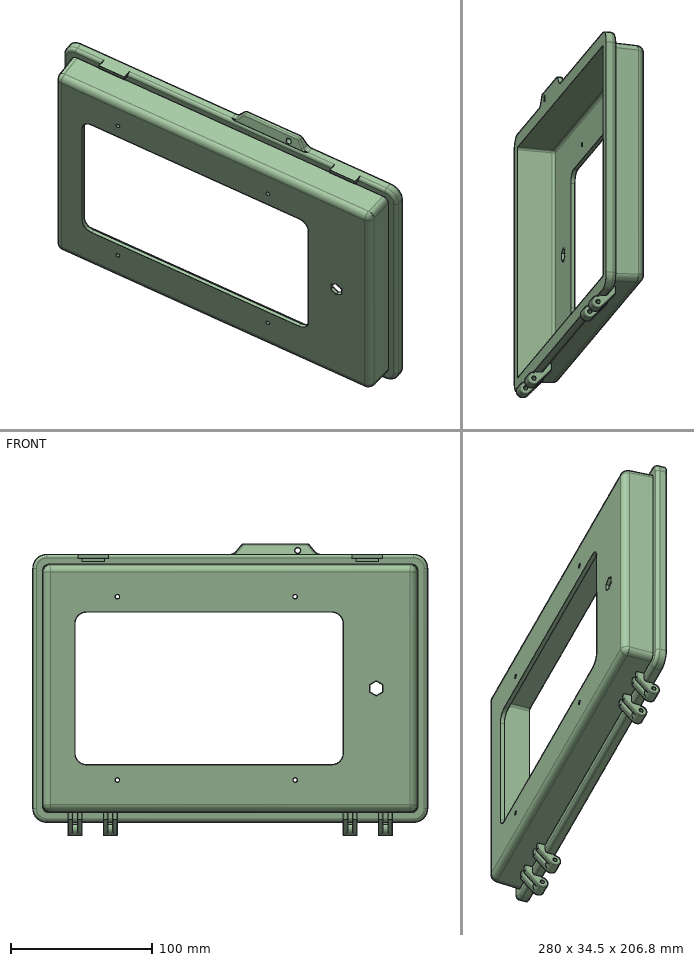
import cadquery as cq
import math


flange_width = 280.0
flange_height = 190.0
flange_depth = 7.5
flange_corner_radius = 10.0
flange_edge_radius = 2.5
flange_top = flange_height / 2
flange_bottom = -flange_top

lid_depth = 30.0
box_inset = 7.0
box_width = flange_width - 2 * box_inset
box_height = flange_height - 2 * box_inset
box_edge_radius = 5.0
box_corner_radius = 4.5
draft_angle = 2.0
wall = 3.0
box_bottom = -box_height / 2

window_width = 190.0
window_height = 108.0
window_center_x = -15.0
window_corner_radius = 8.0
screw_hole_diameter = 3.0
screw_spacing_x = 126.0
screw_spacing_z = 130.0
screw_center_x = -17.0
hex_across_flats = 9.0
hex_center_x = 103.5
hex_turn = 30.0

knuckle_diameter = 9.0
hinge_hole_diameter = 3.0
hinge_axis_drop = 4.82
hinge_axis_z = flange_bottom - hinge_axis_drop
knuckle_width = 10.0
arm_thickness = 3.3
arm_reach = 13.0
arm_slope_angle = 46.0
arm_edge_radius = 0.6
arm_embed = 1.0
web_depth = 3.0
hinge_center_x = 97.5
knuckle_spacing = 25.0

clip_center_x = 97.0
clip_width = 21.5
clip_reach = 11.5
clip_thickness = 3.0
clip_edge_radius = 0.5
clip_rib_width = 16.0
clip_rib_depth = 0.8
clip_rib_height = 2.2

tab_center_x = 32.0
tab_height = 7.5
tab_top_width = 46.6
tab_side_angle = 50.0
tab_foot_radius = 5.0
tab_corner_radius = 2.5
tab_base_depth = 6.2
tab_top_depth = 3.4
tab_edge_radius = 1.4
tab_hole_diameter = 4.0
tab_hole_x = 47.8
tab_hole_rise = 2.7


def front_plane(y):
    """Sketch plane at the given Y, with local x along +X, local y along +Z and normal -Y."""
    return cq.Workplane(cq.Plane(origin=(0, y, 0), xDir=(1, 0, 0), normal=(0, -1, 0)))


def side_plane(x):
    """Sketch plane at the given X, with local x along +Y, local y along +Z and normal +X."""
    return cq.Workplane(cq.Plane(origin=(x, 0, 0), xDir=(0, 1, 0), normal=(1, 0, 0)))


def make_flange():
    flange = front_plane(0).rect(flange_width, flange_height).extrude(flange_depth)
    flange = flange.edges("|Y").fillet(flange_corner_radius)
    return flange.faces("<Y").edges().fillet(flange_edge_radius)


def drafted_block(inset, depth, corner_radius, edge_radius):
    """Block from the back plane, narrowing with the draft angle, with rounded front and corner edges.

    The box width and height hold where the block leaves the front of the flange.
    """
    allowance = 2 * (flange_depth * math.tan(math.radians(draft_angle)) - inset)
    block = (
        front_plane(0).rect(box_width + allowance, box_height + allowance)
        .extrude(depth, taper=draft_angle)
    )
    block = block.faces("<Y").edges().fillet(edge_radius)
    return block.edges("not(#Y)").fillet(corner_radius)


def make_front_openings():
    window = (
        front_plane(0).center(window_center_x, 0).rect(window_width, window_height)
        .extrude(lid_depth).edges("|Y").fillet(window_corner_radius)
    )
    screw_holes = (
        front_plane(0).center(screw_center_x, 0)
        .rect(screw_spacing_x, screw_spacing_z, forConstruction=True).vertices()
        .circle(screw_hole_diameter / 2).extrude(lid_depth)
    )
    hex_corner_diameter = hex_across_flats / math.cos(math.radians(hex_turn))
    hex_hole = (
        front_plane(0).transformed(offset=(hex_center_x, 0, 0), rotate=(0, 0, hex_turn))
        .polygon(6, hex_corner_diameter).extrude(lid_depth)
    )
    return window.union(screw_holes).union(hex_hole)


def make_hinge_arm(x):
    """Side plate that runs from under the box down to a round end on the hinge axis."""
    radius = knuckle_diameter / 2
    slope = math.radians(arm_slope_angle)
    tangent_y = -radius * math.sin(slope)
    tangent_z = hinge_axis_z - radius * math.cos(slope)
    shoulder_z = tangent_z + (arm_reach + tangent_y) * math.tan(slope)
    arc_middle = radius * math.sqrt(0.5)
    return (
        side_plane(x)
        .moveTo(0, hinge_axis_z + radius)
        .lineTo(0, flange_bottom + flange_depth)
        .lineTo(-flange_depth, box_bottom + arm_embed)
        .lineTo(-arm_reach, box_bottom + arm_embed)
        .lineTo(-arm_reach, shoulder_z)
        .lineTo(tangent_y, tangent_z)
        .threePointArc(
            (arc_middle, hinge_axis_z - arc_middle),
            (0, hinge_axis_z + radius),
        )
        .close()
        .extrude(arm_thickness)
        .faces("|X").edges().fillet(arm_edge_radius)
    )


def make_knuckle(center_x):
    """Two arms joined by a barrel and a short web under the flange."""
    left = center_x - knuckle_width / 2
    right = center_x + knuckle_width / 2
    web_start = left + arm_thickness / 2
    web_width = knuckle_width - arm_thickness
    barrel = (
        side_plane(web_start).center(0, hinge_axis_z).circle(knuckle_diameter / 2).extrude(web_width)
    )
    web = (
        side_plane(web_start)
        .moveTo(0, hinge_axis_z)
        .lineTo(0, flange_bottom + wall)
        .lineTo(-web_depth, flange_bottom + wall)
        .lineTo(-web_depth, hinge_axis_z)
        .close()
        .extrude(web_width)
    )
    arms = make_hinge_arm(left).union(make_hinge_arm(right - arm_thickness))
    return barrel.union(web).union(arms)


def make_clip(center_x):
    """Flat hook flush with the top of the flange, stiffened by a thin rib below it."""
    hook = (
        cq.Workplane("XY", origin=(center_x, -(flange_edge_radius + clip_reach) / 2, flange_top))
        .rect(clip_width, clip_reach - flange_edge_radius).extrude(-clip_thickness)
        .faces("<Z").edges("not >Y").fillet(clip_edge_radius)
    )
    rib_start = flange_edge_radius - flange_depth
    rib_full_height = clip_thickness + clip_rib_height
    rib = (
        front_plane(rib_start).center(center_x, flange_top - rib_full_height / 2)
        .rect(clip_rib_width, rib_full_height).extrude(flange_edge_radius + clip_rib_depth)
    )
    return hook.union(rib)


def make_tab():
    """Trapezoid tab with flared feet, a leaning front face, a rounded rim and a small hole."""
    half_top = tab_top_width / 2
    half_base = half_top + tab_height / math.tan(math.radians(tab_side_angle))
    root = 2 * tab_foot_radius
    half_root = half_base + root
    tab = (
        front_plane(0).center(tab_center_x, flange_top)
        .moveTo(-half_root, -root)
        .lineTo(-half_root, 0)
        .lineTo(-half_base, 0)
        .lineTo(-half_top, tab_height)
        .lineTo(half_top, tab_height)
        .lineTo(half_base, 0)
        .lineTo(half_root, 0)
        .lineTo(half_root, -root)
        .close()
        .extrude(tab_base_depth)
    )
    tab = tab.edges("|Y").edges(">Z").fillet(tab_corner_radius)
    feet = cq.selectors.BoxSelector(
        (tab_center_x - half_base - tab_foot_radius, -tab_base_depth, flange_top - tab_corner_radius),
        (tab_center_x + half_base + tab_foot_radius, 0, flange_top + tab_corner_radius),
    )
    tab = tab.edges("|Y").edges(feet).fillet(tab_foot_radius)

    root_depth = flange_depth - flange_edge_radius
    side_profile = (
        side_plane(-flange_width / 2)
        .moveTo(0, flange_top - wall)
        .lineTo(-root_depth, flange_top - wall)
        .lineTo(-root_depth, flange_top)
        .lineTo(-tab_base_depth, flange_top)
        .lineTo(-tab_top_depth, flange_top + tab_height)
        .lineTo(0, flange_top + tab_height)
        .close()
        .extrude(flange_width)
    )
    tab = tab.intersect(side_profile)

    front_rim = cq.selectors.BoxSelector(
        (-flange_width, -tab_base_depth, flange_top + tab_edge_radius / 2),
        (flange_width, -tab_top_depth / 2, flange_top + 2 * tab_height),
    )
    tab = tab.edges("not |Y").edges(front_rim).fillet(tab_edge_radius)
    hole = (
        front_plane(0).center(tab_hole_x, flange_top + tab_hole_rise)
        .circle(tab_hole_diameter / 2).extrude(tab_base_depth)
    )
    return tab.cut(hole)


def make_lid():
    lid = make_flange().union(drafted_block(0, lid_depth, box_corner_radius, box_edge_radius))
    lid = lid.union(make_tab())
    for side in (-1, 1):
        lid = lid.union(make_clip(side * clip_center_x))
        for offset in (-knuckle_spacing / 2, knuckle_spacing / 2):
            lid = lid.union(make_knuckle(side * hinge_center_x + offset))
    hinge_bore = (
        side_plane(-flange_width / 2).center(0, hinge_axis_z)
        .circle(hinge_hole_diameter / 2).extrude(flange_width)
    )
    cavity = drafted_block(
        wall, lid_depth - wall, box_corner_radius - wall, box_edge_radius - wall
    )
    return lid.cut(cavity).cut(make_front_openings()).cut(hinge_bore)


lid = make_lid()

result = cq.Compound.makeCompound([lid.val()])